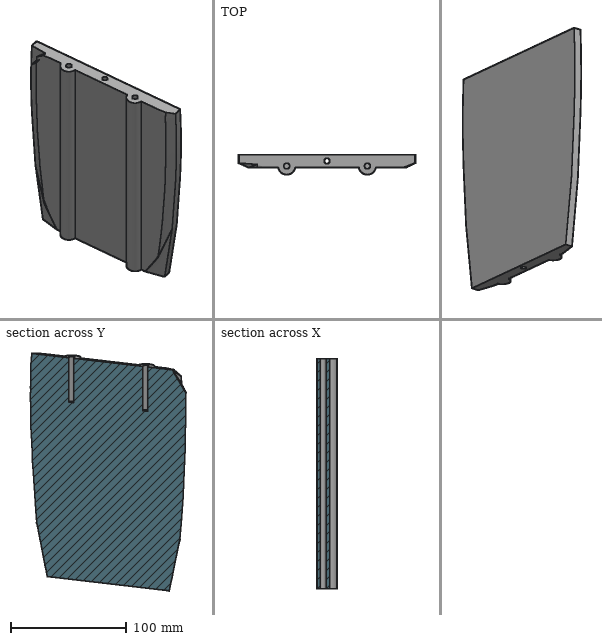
import cadquery as cq
import math

height = 200.0
half_width = 77.0
edge_depth = 7.2
plate_depth = 11.2
total_depth = 17.5

widest_z = 160.0
rim_radius = 800.0
flat_half_width = 68.5
flat_radius = 1100.0
rim_foot = (64.5, 0.0)
rim_knee = (72.5, 61.5)
rim_arc_start_z = 120.0
flat_foot = (46.5, 0.0)
flat_knee_z = 24.0

left_rim_corner_z = 176.5
left_seam_z = 187.2
left_flat_top_z = 194.0
left_ledge = (60.8, 199.5)
left_ledge_depth = 8.5
left_top_half_width = 53.2
right_seam_z = 70.0
right_flat_top_z = 194.0
right_top_half_width = 60.0
right_corner_depth = 10.5

rib_x = 35.0
rib_radius = 7.5
rib_bore_diameter = 5.0
rib_bore_depth = 40.0
center_bore_diameter = 4.5
center_bore_y = -5.5


def point(side, plan, depth):
    """Place a (half width, Z) plan point on the left (-1) or right (+1) side."""
    return cq.Vector(side * plan[0], -depth, plan[1])


def on_arc(widest, radius, z):
    """Plan point of an arc that is widest at widest_z."""
    return (widest - radius + math.sqrt(radius**2 - (z - widest_z) ** 2), z)


def rim(z):
    return on_arc(half_width, rim_radius, z)


def flat(z):
    return on_arc(flat_half_width, flat_radius, z)


def arc(side, curve, z_start, z_end, depth):
    heights = (z_start, (z_start + z_end) / 2, z_end)
    return cq.Edge.makeThreePointArc(*[point(side, curve(z), depth) for z in heights])


def line(side, start, end, depth):
    return cq.Edge.makeLine(point(side, start, depth), point(side, end, depth))


def polygon(*corners):
    return cq.Face.makeFromWires(cq.Wire.makePolygon(corners, close=True))


def planar(edges):
    return cq.Face.makeFromWires(cq.Wire.assembleEdges(edges))


def ruled(first, second):
    return cq.Face.makeRuledSurface(first, second)


def wall(back_edge):
    """Side wall swept straight forward from a back edge to the rim."""
    return cq.occ_impl.shapes.extrude(back_edge, (0, -edge_depth, 0))


def fan(edge, apex):
    """Facet from an edge to a single point."""
    start, end = edge.startPoint(), edge.endPoint()
    sides = [cq.Edge.makeLine(end, apex), cq.Edge.makeLine(apex, start)]
    return cq.Face.makeNSidedSurface([edge] + sides, [])


def rim_edges(side, depth, arc_heights):
    edges = [
        line(side, rim_foot, rim_knee, depth),
        line(side, rim_knee, rim(rim_arc_start_z), depth),
    ]
    for start, end in zip(arc_heights, arc_heights[1:]):
        edges.append(arc(side, rim, start, end, depth))
    return edges


def lower_bevel(side, front_rim):
    flat_edge = line(side, flat_foot, flat(flat_knee_z), plate_depth)
    return ruled(front_rim[0], flat_edge), flat_edge


def left_side():
    """Return wall and bevel faces, back rim, flat edges and top corners."""
    side = -1
    heights = (rim_arc_start_z, left_rim_corner_z, height)
    back = rim_edges(side, 0, heights)
    front = rim_edges(side, edge_depth, heights)
    bevel, foot_edge = lower_bevel(side, front)
    long_edge = arc(side, flat, flat_knee_z, left_seam_z, plate_depth)
    short_edge = arc(side, flat, left_seam_z, left_flat_top_z, plate_depth)

    rim_corner = point(side, rim(left_rim_corner_z), edge_depth)
    rim_top = point(side, rim(height), edge_depth)
    seam = point(side, flat(left_seam_z), plate_depth)
    flat_top = point(side, flat(left_flat_top_z), plate_depth)
    ledge = point(side, left_ledge, plate_depth)
    ledge_top = point(side, (left_ledge[0], height), left_ledge_depth)
    top = point(side, (left_top_half_width, height), plate_depth)

    faces = [wall(edge) for edge in back]
    faces += [
        bevel,
        ruled(front[1], long_edge),
        fan(front[2], seam),
        fan(front[3], ledge_top),
        polygon(rim_corner, ledge_top, seam),
        fan(short_edge, ledge_top),
        polygon(flat_top, ledge_top, ledge),
        polygon(ledge, ledge_top, top),
    ]
    flat_edges = [
        foot_edge,
        long_edge,
        short_edge,
        cq.Edge.makeLine(flat_top, ledge),
        cq.Edge.makeLine(ledge, top),
    ]
    return faces, back, flat_edges, [point(side, rim(height), 0), rim_top, ledge_top, top]


def right_side():
    """Return wall and bevel faces, back rim, flat edges and top corners."""
    side = 1
    heights = (rim_arc_start_z, right_flat_top_z, height)
    back = rim_edges(side, 0, heights)
    front = rim_edges(side, edge_depth, heights)
    bevel, foot_edge = lower_bevel(side, front)
    lower_edge = arc(side, flat, flat_knee_z, right_seam_z, plate_depth)
    upper_edge = arc(side, flat, right_seam_z, right_flat_top_z, plate_depth)

    rim_top = point(side, rim(height), edge_depth)
    flat_top = point(side, flat(right_flat_top_z), plate_depth)
    corner = point(side, flat(height), right_corner_depth)
    top = point(side, (right_top_half_width, height), plate_depth)

    faces = [wall(edge) for edge in back]
    faces += [
        bevel,
        ruled(front[1], lower_edge),
        ruled(front[2], upper_edge),
        ruled(front[3], cq.Edge.makeLine(flat_top, corner)),
        polygon(flat_top, corner, top),
    ]
    flat_edges = [foot_edge, lower_edge, upper_edge, cq.Edge.makeLine(flat_top, top)]
    return faces, back, flat_edges, [point(side, rim(height), 0), rim_top, corner, top]


def make_plate():
    left_faces, left_back, left_flat, left_top = left_side()
    right_faces, right_back, right_flat, right_top = right_side()

    back_ends = [
        line(1, (-rim_foot[0], 0), rim_foot, 0),
        cq.Edge.makeLine(left_top[0], right_top[0]),
    ]
    flat_ends = [
        line(1, (-flat_foot[0], 0), flat_foot, plate_depth),
        cq.Edge.makeLine(left_top[-1], right_top[-1]),
    ]
    bottom = [
        point(-1, rim_foot, 0),
        point(-1, rim_foot, edge_depth),
        point(-1, flat_foot, plate_depth),
        point(1, flat_foot, plate_depth),
        point(1, rim_foot, edge_depth),
        point(1, rim_foot, 0),
    ]
    faces = left_faces + right_faces
    faces += [
        planar(left_back + right_back + back_ends),
        planar(left_flat + right_flat + flat_ends),
        polygon(*bottom),
        polygon(*left_top, *reversed(right_top)),
    ]
    return cq.Workplane(cq.Solid.makeSolid(cq.Shell.makeShell(faces)).fix())


def rod(x, y, diameter, z_start, length):
    return cq.Workplane("XY", origin=(x, y, z_start)).circle(diameter / 2).extrude(length)


result = make_plate()
rib_y = rib_radius - total_depth
for x in (-rib_x, rib_x):
    result = result.union(rod(x, rib_y, 2 * rib_radius, 0, height))
    bore_floor = height - rib_bore_depth
    result = result.cut(rod(x, rib_y, rib_bore_diameter, bore_floor, rib_bore_depth))

result = result.cut(rod(0, center_bore_y, center_bore_diameter, 0, height))

result = result.clean().solids()